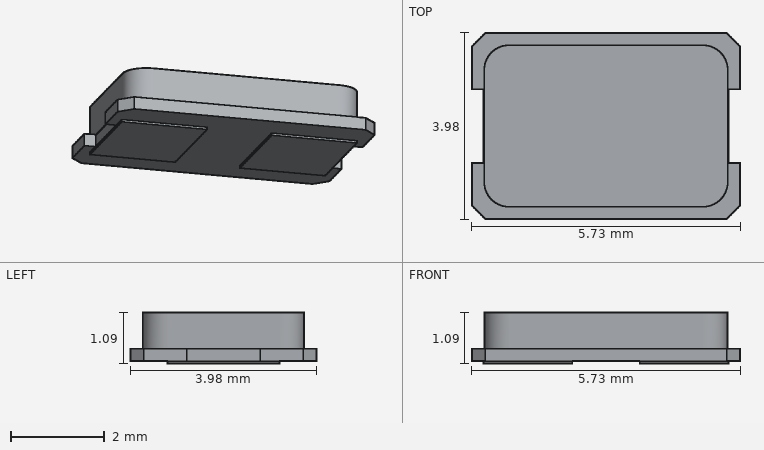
import cadquery as cq

BASE_LENGTH = 5.73
BASE_WIDTH = 3.98
BASE_THICKNESS = 0.27
BASE_CHAMFER = 0.29

NOTCH_WIDTH = 1.57
NOTCH_DEPTH = 0.255

LID_MARGIN = 0.265
LID_CORNER_RADIUS = 0.525

PAD_LENGTH = 1.90
PAD_WIDTH = 2.40
PAD_THICKNESS = 0.05
PAD_GAP = 1.44

TOTAL_HEIGHT = 1.09

BASE_BOTTOM = PAD_THICKNESS
BASE_TOP = BASE_BOTTOM + BASE_THICKNESS
LID_HEIGHT = TOTAL_HEIGHT - BASE_TOP
LID_LENGTH = BASE_LENGTH - 2 * LID_MARGIN
LID_WIDTH = BASE_WIDTH - 2 * LID_MARGIN


def make_base():
    """Flat plate with chamfered corners and a notch in each short side."""
    base_plane = cq.Workplane("XY", origin=(0, 0, BASE_BOTTOM))
    plate = (
        base_plane
        .rect(BASE_LENGTH, BASE_WIDTH)
        .extrude(BASE_THICKNESS)
        .edges("|Z")
        .chamfer(BASE_CHAMFER)
    )
    notches = (
        base_plane
        .pushPoints([(-BASE_LENGTH / 2, 0), (BASE_LENGTH / 2, 0)])
        .rect(2 * NOTCH_DEPTH, NOTCH_WIDTH)
        .extrude(BASE_THICKNESS)
    )
    return plate.cut(notches)


def make_lid():
    """Solid block with rounded upright corners, centred on the base."""
    return (
        cq.Workplane("XY", origin=(0, 0, BASE_TOP))
        .rect(LID_LENGTH, LID_WIDTH)
        .extrude(LID_HEIGHT)
        .edges("|Z")
        .fillet(LID_CORNER_RADIUS)
    )


def make_pad(x_sign):
    """Thin rectangular contact under one end of the base."""
    pad_x = x_sign * (PAD_GAP + PAD_LENGTH) / 2
    return (
        cq.Workplane("XY", origin=(pad_x, 0, 0))
        .rect(PAD_LENGTH, PAD_WIDTH)
        .extrude(PAD_THICKNESS)
    )


base = make_base()
lid = make_lid()
pads = [make_pad(x_sign) for x_sign in (-1, 1)]

result = cq.Compound.makeCompound([base.val(), lid.val(), *[pad.val() for pad in pads]])